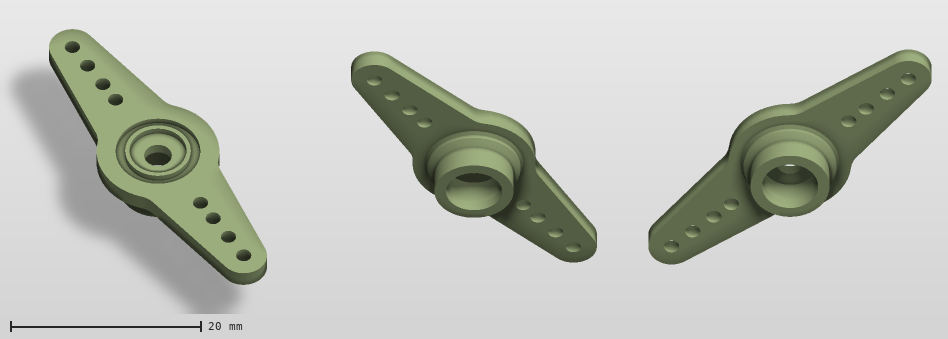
import cadquery as cq
import math

plate_thickness = 1.9
disc_diameter = 12.9
overall_length = 38.6
arm_tip_radius = 2.45
arm_taper_angle = math.radians(8.6)
arm_root_fillet = 2.5

arm_hole_diameter = 1.6
arm_hole_offsets = [0.0, 3.0, 6.0, 8.5]

overall_height = 5.9
rim_projection = 0.1
plate_top = overall_height - rim_projection
plate_bottom = plate_top - plate_thickness

hub_diameter = 8.3
collar_diameter = 9.8
collar_flare_diameter = 10.4
collar_cone_diameter = 8.95
collar_cone_bottom = 2.5
collar_cone_middle = 2.82
collar_cone_top = 3.2
collar_flare_bottom = 3.6

groove_outer_diameter = 8.9
rim_outer_diameter = 6.9
screw_recess_diameter = 6.0
groove_depth = 0.7
screw_recess_depth = 0.8

screw_hole_diameter = 2.9
web_thickness = 1.25
socket_diameter = 5.9

tip_centre = overall_length / 2 - arm_tip_radius
screw_recess_floor = overall_height - screw_recess_depth
socket_top = screw_recess_floor - web_thickness


def cylinder(diameter, bottom, top):
    """Vertical cylinder on the part axis between two heights."""
    return cq.Workplane("XY", origin=(0, 0, bottom)).circle(diameter / 2).extrude(top - bottom)


def make_arms():
    """Both arms as one outline, widest at the middle and rounded at the tips."""
    tangent_x = tip_centre + arm_tip_radius * math.sin(arm_taper_angle)
    tangent_y = arm_tip_radius * math.cos(arm_taper_angle)
    middle_y = tangent_y + tangent_x * math.tan(arm_taper_angle)
    tip_x = overall_length / 2
    return (
        cq.Workplane("XY", origin=(0, 0, plate_bottom))
        .moveTo(0, middle_y)
        .lineTo(tangent_x, tangent_y)
        .threePointArc((tip_x, 0), (tangent_x, -tangent_y))
        .lineTo(0, -middle_y)
        .lineTo(-tangent_x, -tangent_y)
        .threePointArc((-tip_x, 0), (-tangent_x, tangent_y))
        .close()
        .extrude(plate_thickness)
    )


def make_plate():
    """Disc and arms joined, with the four inner corners rounded."""
    plate = make_arms().union(cylinder(disc_diameter, plate_bottom, plate_top))
    corner_reach = disc_diameter / 2
    corners = cq.selectors.BoxSelector(
        (-corner_reach, -corner_reach, plate_bottom),
        (corner_reach, corner_reach, plate_top),
    )
    return plate.edges("|Z").edges(corners).fillet(arm_root_fillet)


def make_hub():
    """Hub and collar, revolved from half of their profile."""
    return (
        cq.Workplane("XZ")
        .lineTo(hub_diameter / 2, 0)
        .lineTo(hub_diameter / 2, collar_cone_bottom)
        .lineTo(collar_cone_diameter / 2, collar_cone_middle)
        .lineTo(collar_diameter / 2, collar_cone_top)
        .lineTo(collar_diameter / 2, collar_flare_bottom)
        .lineTo(collar_flare_diameter / 2, plate_bottom)
        .lineTo(0, plate_bottom)
        .close()
        .revolve(360, (0, 0, 0), (0, 1, 0))
    )


def make_groove():
    """Ring-shaped cut around the raised rim."""
    floor = plate_top - groove_depth
    outer = cylinder(groove_outer_diameter, floor, overall_height)
    return outer.cut(cylinder(rim_outer_diameter, floor, overall_height))


def make_bore():
    """Screw head recess, screw hole and the socket open at the bottom."""
    recess = cylinder(screw_recess_diameter, screw_recess_floor, overall_height)
    screw_hole = cylinder(screw_hole_diameter, 0, overall_height)
    socket = cylinder(socket_diameter, 0, socket_top)
    return recess.union(screw_hole).union(socket)


def make_arm_holes():
    """Rows of through holes along both arms."""
    distances = [tip_centre - offset for offset in arm_hole_offsets]
    centres = [(side * distance, 0) for side in (-1, 1) for distance in distances]
    return (
        cq.Workplane("XY", origin=(0, 0, plate_bottom))
        .pushPoints(centres)
        .circle(arm_hole_diameter / 2)
        .extrude(plate_thickness)
    )


result = (
    make_plate()
    .union(make_hub())
    .union(cylinder(rim_outer_diameter, plate_bottom, overall_height))
    .cut(make_groove())
    .cut(make_bore())
    .cut(make_arm_holes())
)